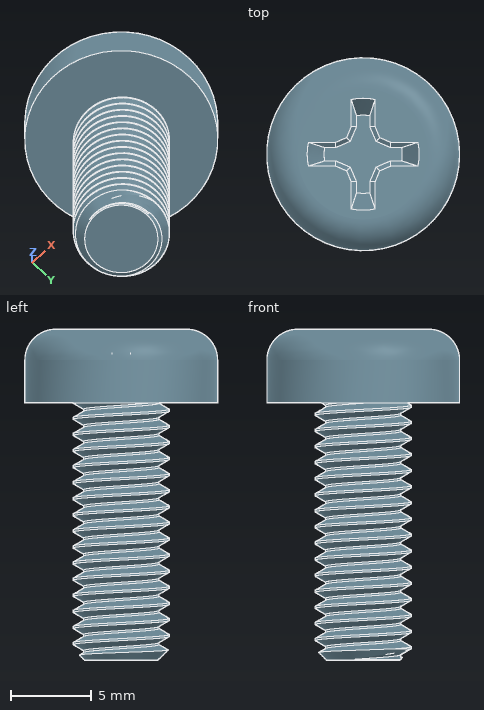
import cadquery as cq
import math

total_length = 20.6
head_height = 4.6
shank_length = total_length - head_height
head_diameter = 12.0
head_fillet = 1.94

thread_diameter = 6.0
thread_radius = thread_diameter / 2
turn_count = 16
pitch = shank_length / turn_count
root_radius = 2.35
flank_angle = math.radians(30)
crest_width = pitch / 8
end_overrun = 2 * pitch
first_crest_drop = 0.2
tip_chamfer = 0.72
core_overlap = 0.02
trim_clearance = 0.1
core_seam_angle = 40.0
envelope_seam_angle = 77.0

recess_depth = 3.0
recess_top_radius = 3.48
recess_floor_radius = 2.43
arm_half_width_top = 0.75
arm_half_width_floor = 0.41
arm_root = 1.7
corner_offset_top = 1.03
corner_offset_floor = 0.8


def make_head():
    head = cq.Workplane("XY").circle(head_diameter / 2).extrude(head_height)
    return head.faces(">Z").edges().fillet(head_fillet)


def helical_ridge(section, height):
    """Solid swept by a closed section of (radius, Z) points along a right-handed helix."""
    helices = []
    for radius, z in section:
        helix = cq.Wire.makeHelix(pitch, height, radius)
        helices.append(helix.translate(cq.Vector(0, 0, z)))
    neighbours = helices[1:] + helices[:1]
    faces = [cq.Face.makeRuledSurface(one, other) for one, other in zip(helices, neighbours)]
    start_points = [helix.startPoint() for helix in helices]
    end_points = [helix.endPoint() for helix in helices]
    for points in (start_points, end_points):
        faces.append(cq.Face.makeFromWires(cq.Wire.makePolygon(points, close=True)))
    return cq.Solid.makeSolid(cq.Shell.makeShell(faces))


def make_ridge():
    """Thread ridge that runs past both ends of the shank."""
    inner_radius = root_radius - core_overlap
    crest_half_width = crest_width / 2
    inner_half_width = crest_half_width + (thread_radius - inner_radius) * math.tan(flank_angle)
    section = [
        (inner_radius, -inner_half_width),
        (thread_radius, -crest_half_width),
        (thread_radius, crest_half_width),
        (inner_radius, inner_half_width),
    ]
    ridge = helical_ridge(section, shank_length + end_overrun)
    return ridge.translate(cq.Vector(0, 0, -first_crest_drop - shank_length))


def make_shank():
    """Core and ridge joined overlong, then trimmed together to the length and tip."""
    core = (
        cq.Workplane("XY")
        .workplane(offset=end_overrun)
        .circle(root_radius)
        .extrude(-shank_length - 2 * end_overrun)
        .rotate((0, 0, 0), (0, 0, 1), core_seam_angle)
    )
    envelope = (
        cq.Workplane("XY")
        .circle(thread_radius + trim_clearance)
        .extrude(-shank_length)
        .faces("<Z")
        .edges()
        .chamfer(tip_chamfer + trim_clearance)
        .rotate((0, 0, 0), (0, 0, 1), envelope_seam_angle)
    )
    return core.union(cq.Workplane(obj=make_ridge())).intersect(envelope)


def cross_outline(half_width, corner_offset):
    """Four-armed outline whose arms reach the recess's top radius."""
    quarter = [
        (recess_top_radius, -half_width),
        (recess_top_radius, half_width),
        (arm_root, half_width),
        (corner_offset, corner_offset),
        (half_width, arm_root),
    ]
    points = []
    for arm in range(4):
        cosine = round(math.cos(arm * math.pi / 2))
        sine = round(math.sin(arm * math.pi / 2))
        points += [(x * cosine - y * sine, x * sine + y * cosine) for x, y in quarter]
    return points


def make_recess():
    """Cross with tapering sides, trimmed by a cone that slopes the arm ends."""
    cross = (
        cq.Workplane("XY")
        .workplane(offset=head_height - recess_depth)
        .polyline(cross_outline(arm_half_width_floor, corner_offset_floor))
        .close()
        .workplane(offset=recess_depth)
        .polyline(cross_outline(arm_half_width_top, corner_offset_top))
        .close()
        .loft(ruled=True)
    )
    cone = cq.Solid.makeCone(
        recess_floor_radius,
        recess_top_radius,
        recess_depth,
        pnt=cq.Vector(0, 0, head_height - recess_depth),
    )
    return cross.intersect(cq.Workplane(obj=cone))


result = make_head().union(make_shank()).cut(make_recess())